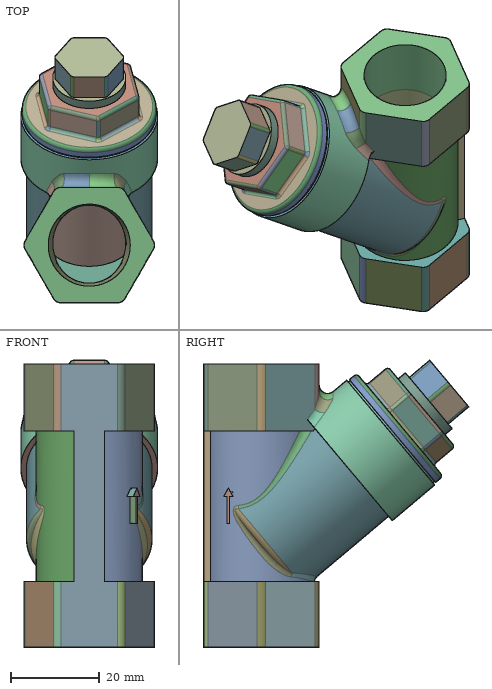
import cadquery as cq
import math


OVERALL_HEIGHT = 65.05
TOLERANCE = 0.005

PIPE_LENGTH = 64.2
PIPE_RADIUS = 12.0
HEX_FLATS = 26.15
HEX_CORNER_RADIUS = 1.95
LOWER_HEX_HEIGHT = 14.95
UPPER_HEX_HEIGHT = 15.15
RIB_WIDTH = 6.9

PORT_RADIUS = 9.3
PORT_INNER_RADIUS = 7.8

ARROW_RELIEF = 1.1
ARROW_Y = -7.5
ARROW_BOTTOM = 28.1
ARROW_HEAD_BOTTOM = 34.2
ARROW_TOP = 36.1
ARROW_SHAFT_WIDTH = 0.5
ARROW_HEAD_WIDTH = 2.1

BRANCH_ELEVATION = 40.0
BARREL_START = -0.7
BARREL_RADIUS = 14.25
BARREL_END_FILLET = 1.4
BARREL_NECK_FILLET = 1.6
COLLAR_START = 25.7
COLLAR_RADIUS = 15.51
COLLAR_NECK_FILLET = 1.95
GROOVE_START = 38.25
GROOVE_RADIUS = 14.9

FLANGE_START = 38.75
FLANGE_END = 41.0
FLANGE_RADIUS = 15.2
FLANGE_FILLET = 0.85
NUT_END = 47.35
NUT_FLATS = 21.0
NUT_TURN = 10.0
NUT_CORNER_RADIUS = 0.9
NUT_FILLET = 0.8
WASHER_END = 49.5
WASHER_RADIUS = 8.25
BOLT_END = 55.55
BOLT_FLATS = 13.8
BOLT_TURN = 30.0
BOLT_CORNER_RADIUS = 1.0

PLUG_START = 2.15
PLUG_RADIUS = 10.0

COS_TILT = math.cos(math.radians(BRANCH_ELEVATION))
SIN_TILT = math.sin(math.radians(BRANCH_ELEVATION))
BRANCH_DIRECTION = cq.Vector(0, COS_TILT, SIN_TILT)
BRANCH_UP = cq.Vector(0, -SIN_TILT, COS_TILT)

UPPER_HEX_BOTTOM = PIPE_LENGTH - UPPER_HEX_HEIGHT
CROSSING_HEIGHT = OVERALL_HEIGHT - BOLT_END * SIN_TILT - BOLT_FLATS / 2 * COS_TILT
CROSSING = cq.Vector(0, 0, CROSSING_HEIGHT)

OUTER_FACE = cq.selectors.DirectionMinMaxSelector(BRANCH_DIRECTION, True)
INNER_FACE = cq.selectors.DirectionMinMaxSelector(BRANCH_DIRECTION, False)


def across_corners(flats):
    return flats / math.cos(math.radians(30))


def branch_plane(distance):
    """Plane across the branch; its local X axis points up and its local Y axis is the part's X axis."""
    origin = CROSSING + BRANCH_DIRECTION * distance
    return cq.Workplane(cq.Plane(origin=origin, xDir=BRANCH_UP, normal=BRANCH_DIRECTION))


def branch_disc(start, end, radius):
    return branch_plane(start).circle(radius).extrude(end - start)


def branch_hex(start, end, flats, turn, corner_radius):
    plane = branch_plane(start).transformed(rotate=(0, 0, turn))
    prism = plane.polygon(6, across_corners(flats)).extrude(end - start)
    return prism.edges(cq.selectors.ParallelDirSelector(BRANCH_DIRECTION)).fillet(corner_radius)


def pipe_hex(bottom, height):
    plane = cq.Workplane("XY", origin=(0, 0, bottom))
    return plane.polygon(6, across_corners(HEX_FLATS)).extrude(height).edges("|Z").fillet(HEX_CORNER_RADIUS)


def pipe_radius_at(point):
    return math.hypot(point.x, point.y)


def branch_radius_at(point):
    return math.hypot(point.x, (point - CROSSING).dot(BRANCH_UP))


def crosses_cylinder(radius_at, radius):
    """Test for edges where a cylinder meets another body: on its surface, but no rim and no seam."""

    def test(edge):
        if edge.geomType() in ("LINE", "CIRCLE"):
            return False
        return all(abs(radius_at(edge.positionAt(u)) - radius) < TOLERANCE for u in (0, 0.3, 0.7, 1))

    return test


def is_nut_base(edge):
    point = edge.positionAt(0)
    on_flange = abs((point - CROSSING).dot(BRANCH_DIRECTION) - FLANGE_END) < TOLERANCE
    return on_flange and branch_radius_at(point) <= across_corners(NUT_FLATS) / 2


def make_pipe_with_barrel():
    pipe = cq.Workplane("XY").circle(PIPE_RADIUS).extrude(PIPE_LENGTH).rotate((0, 0, 0), (0, 0, 1), -90)
    barrel = branch_disc(BARREL_START, GROOVE_START, BARREL_RADIUS)
    barrel = barrel.faces(INNER_FACE).edges().fillet(BARREL_END_FILLET)
    joined = pipe.union(barrel)
    return joined.edges().filter(crosses_cylinder(pipe_radius_at, PIPE_RADIUS)).fillet(BARREL_NECK_FILLET)


def make_upper_hex_with_collar():
    collar = branch_disc(COLLAR_START, GROOVE_START, COLLAR_RADIUS)
    joined = pipe_hex(UPPER_HEX_BOTTOM, UPPER_HEX_HEIGHT).union(collar)
    return joined.edges().filter(crosses_cylinder(branch_radius_at, COLLAR_RADIUS)).fillet(COLLAR_NECK_FILLET)


def make_rib():
    """Flat strip along the -Y side, flush with the hexagons."""
    depth = HEX_FLATS / 2
    return cq.Workplane("XY", origin=(0, -depth / 2, 0)).box(
        RIB_WIDTH, depth, PIPE_LENGTH, centered=(True, True, False)
    )


def make_arrow():
    shaft = ARROW_SHAFT_WIDTH / 2
    head = ARROW_HEAD_WIDTH / 2
    outline = [
        (-shaft, ARROW_BOTTOM),
        (shaft, ARROW_BOTTOM),
        (shaft, ARROW_HEAD_BOTTOM),
        (head, ARROW_HEAD_BOTTOM),
        (0, ARROW_TOP),
        (-head, ARROW_HEAD_BOTTOM),
        (-shaft, ARROW_HEAD_BOTTOM),
    ]
    outer_radius = PIPE_RADIUS + ARROW_RELIEF
    arrow = cq.Workplane("YZ", origin=(0, ARROW_Y, 0)).polyline(outline).close().extrude(outer_radius)
    sleeve = cq.Workplane("XY").circle(outer_radius).extrude(PIPE_LENGTH)
    return arrow.intersect(sleeve)


def make_cap():
    groove = branch_disc(GROOVE_START, FLANGE_START, GROOVE_RADIUS)
    flange = branch_disc(FLANGE_START, FLANGE_END, FLANGE_RADIUS)
    flange = flange.faces(OUTER_FACE).edges().fillet(FLANGE_FILLET)
    nut = branch_hex(FLANGE_END, NUT_END, NUT_FLATS, NUT_TURN, NUT_CORNER_RADIUS)
    nut = nut.faces(OUTER_FACE).edges().fillet(NUT_FILLET)
    cap = flange.union(nut)
    cap = cap.edges().filter(is_nut_base).fillet(NUT_FILLET)
    washer = branch_disc(NUT_END, WASHER_END, WASHER_RADIUS)
    bolt = branch_hex(WASHER_END, BOLT_END, BOLT_FLATS, BOLT_TURN, BOLT_CORNER_RADIUS)
    return cap.union(groove).union(washer).union(bolt)


def make_lower_port():
    return cq.Workplane("XY").circle(PORT_RADIUS).extrude(LOWER_HEX_HEIGHT)


def make_upper_port():
    """Bore that narrows down to a slanted floor level with the inner end of the plug, less the plug."""
    bore = cq.Workplane("XY", origin=(0, 0, UPPER_HEX_BOTTOM)).circle(PORT_RADIUS).extrude(UPPER_HEX_HEIGHT)
    taper = (
        cq.Workplane("XY", origin=(0, 0, CROSSING_HEIGHT))
        .circle(PORT_INNER_RADIUS)
        .workplane(offset=UPPER_HEX_BOTTOM - CROSSING_HEIGHT)
        .circle(PORT_RADIUS)
        .loft()
    )
    space_above_floor = branch_disc(PLUG_START, OVERALL_HEIGHT, OVERALL_HEIGHT)
    plug = branch_disc(PLUG_START, GROOVE_START, PLUG_RADIUS)
    return bore.union(taper).intersect(space_above_floor).cut(plug)


body = make_pipe_with_barrel().union(make_upper_hex_with_collar())
body = body.union(pipe_hex(0, LOWER_HEX_HEIGHT))
body = body.union(make_rib()).union(make_arrow()).union(make_cap())
result = body.cut(make_lower_port()).cut(make_upper_port())